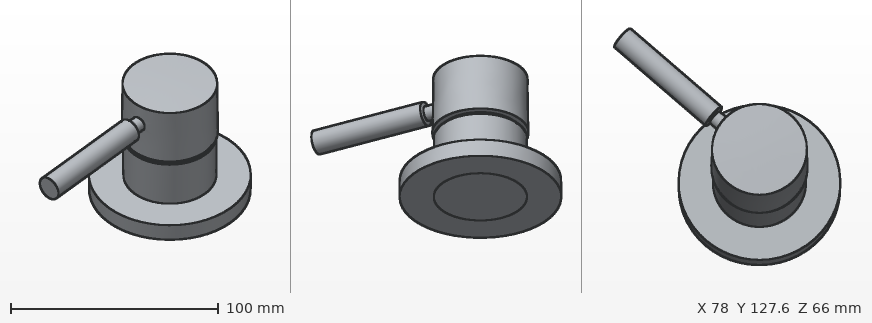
import cadquery as cq

OVERALL_LENGTH = 127.6
FLANGE_RADIUS = 78.0 / 2
FLANGE_HEIGHT = 9.0

BODY_RADIUS = 22.5
BODY_EDGE_Z = 33.2
SHOULDER_RADIUS = 21.8
SHOULDER_Z = 33.8
NECK_RADIUS = 19.8
NECK_START_Z = 34.7

CAP_BOTTOM_Z = 35.7
CAP_BOTTOM_RADIUS = 23.2
CAP_TOP_RADIUS = 22.8
CAP_RIM_Z = 65.5
CAP_TOP_Z = 66.0

LEVER_Z = 54.4
GRIP_RADIUS = 6.0
GRIP_START = 29.6
LEVER_END = OVERALL_LENGTH - FLANGE_RADIUS
STEM_RADIUS = 3.7
STEM_END = 29.0
STEM_START = 21.7


def make_flange():
    """Flat ring around the body."""
    return cq.Workplane("XY").circle(FLANGE_RADIUS).circle(BODY_RADIUS).extrude(FLANGE_HEIGHT)


def make_body():
    """Cylinder with a chamfered, sloping shoulder and a narrow neck under the cap."""
    return (
        cq.Workplane("XZ")
        .moveTo(0, 0)
        .lineTo(BODY_RADIUS, 0)
        .lineTo(BODY_RADIUS, BODY_EDGE_Z)
        .lineTo(SHOULDER_RADIUS, SHOULDER_Z)
        .lineTo(NECK_RADIUS, NECK_START_Z)
        .lineTo(NECK_RADIUS, CAP_BOTTOM_Z)
        .lineTo(0, CAP_BOTTOM_Z)
        .close()
        .revolve(360, (0, 0), (0, 1))
    )


def make_lever():
    """Thin stem that meets a thicker round grip over a shallow conical shoulder."""
    return (
        cq.Workplane("XY", origin=(0, 0, LEVER_Z))
        .moveTo(0, -STEM_START)
        .lineTo(STEM_RADIUS, -STEM_START)
        .lineTo(STEM_RADIUS, -STEM_END)
        .lineTo(GRIP_RADIUS, -GRIP_START)
        .lineTo(GRIP_RADIUS, -LEVER_END)
        .lineTo(0, -LEVER_END)
        .close()
        .revolve(360, (0, 0), (0, 1))
    )


def make_cap(lever):
    """Domed cap with a shallow socket that fits the lever stem."""
    dome_height = CAP_TOP_Z - CAP_RIM_Z
    dome_radius = (CAP_TOP_RADIUS**2 + dome_height**2) / (2 * dome_height)
    mid_radius = CAP_TOP_RADIUS / 2
    mid_z = CAP_TOP_Z - dome_radius + (dome_radius**2 - mid_radius**2) ** 0.5
    solid_cap = (
        cq.Workplane("XZ")
        .moveTo(0, CAP_BOTTOM_Z)
        .lineTo(CAP_BOTTOM_RADIUS, CAP_BOTTOM_Z)
        .lineTo(CAP_TOP_RADIUS, CAP_RIM_Z)
        .threePointArc((mid_radius, mid_z), (0, CAP_TOP_Z))
        .close()
        .revolve(360, (0, 0), (0, 1))
    )
    return solid_cap.cut(lever)


flange = make_flange()
body = make_body()
lever = make_lever()
cap = make_cap(lever)

result = cq.Compound.makeCompound([flange.val(), body.val(), cap.val(), lever.val()])